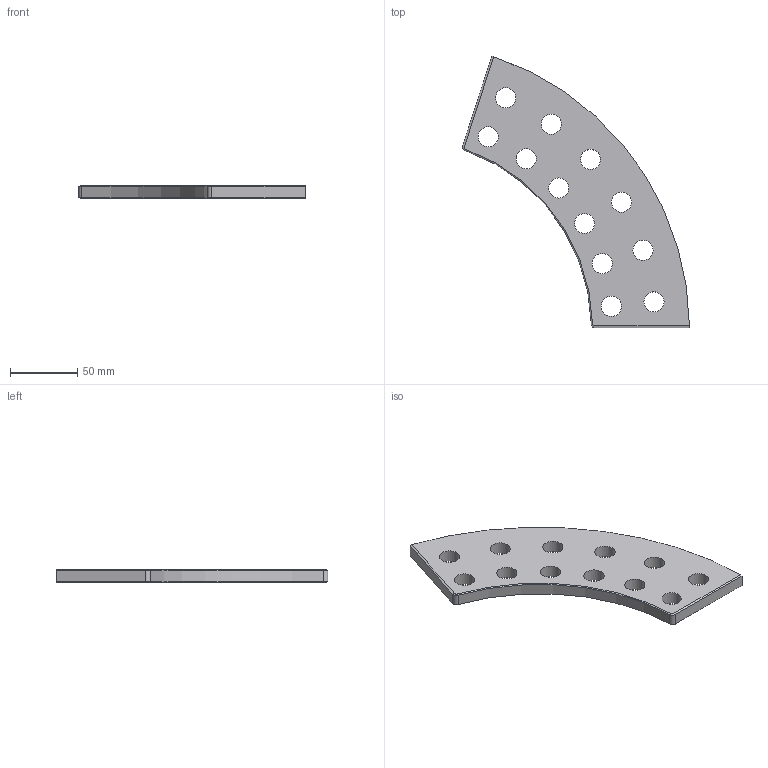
import cadquery as cq
import math

SECTOR_ANGLE = 72.0
OUTER_RADIUS = 213.17
INNER_RADIUS = 140.2
THICKNESS = 9.49
END_CLEARANCE = 0.25
INNER_CORNER_RADIUS = 3.1
TRIM_ALLOWANCE = 5.0

BEVEL_HEIGHT = 0.5
END_BEVEL_INSET = 1.5
INNER_BEVEL_INSET = 0.9

HOLE_DIAMETER = 15.0
HOLE_ROW_RADII = (156.0, 187.8)
HOLES_PER_ROW = 6
HOLE_PITCH_ANGLE = SECTOR_ANGLE / HOLES_PER_ROW


def polar(radius, angle):
    """XY point at a radius and an angle in degrees."""
    turn = math.radians(angle)
    return radius * math.cos(turn), radius * math.sin(turn)


def mirrored(point):
    """The same point reflected across the sector's line of symmetry."""
    x, y = point
    return polar(math.hypot(x, y), SECTOR_ANGLE - math.degrees(math.atan2(y, x)))


def sector_outline(height, end_inset=0.0, inner_inset=0.0):
    """Closed blank outline at a height, with its ends and inner arc drawn into the material."""
    blank_radius = OUTER_RADIUS + TRIM_ALLOWANCE
    end_y = END_CLEARANCE + end_inset
    inner_radius = INNER_RADIUS + inner_inset
    corner_radius = INNER_CORNER_RADIUS - end_inset

    centre_radius = inner_radius + corner_radius
    centre_y = end_y + corner_radius
    centre_angle = math.degrees(math.asin(centre_y / centre_radius))
    centre_x, _ = polar(centre_radius, centre_angle)
    angle_to_arc = 180 + centre_angle
    angle_to_end = 270
    middle_x, middle_y = polar(corner_radius, (angle_to_arc + angle_to_end) / 2)

    outer_corner = (math.sqrt(blank_radius**2 - end_y**2), end_y)
    corner_on_end = (centre_x, end_y)
    corner_middle = (centre_x + middle_x, centre_y + middle_y)
    corner_on_arc = polar(inner_radius, centre_angle)

    return (
        cq.Workplane("XY", origin=(0, 0, height))
        .moveTo(*corner_on_end)
        .lineTo(*outer_corner)
        .threePointArc(polar(blank_radius, SECTOR_ANGLE / 2), mirrored(outer_corner))
        .lineTo(*mirrored(corner_on_end))
        .threePointArc(mirrored(corner_middle), mirrored(corner_on_arc))
        .threePointArc(polar(inner_radius, SECTOR_ANGLE / 2), corner_on_arc)
        .threePointArc(corner_middle, corner_on_end)
        .close()
    )


def make_bevel(face_height, core_height):
    """Thin layer tapering from the full outline at the core to the inset outline at the face."""
    core_wire = sector_outline(core_height).val()
    face_wire = sector_outline(face_height, END_BEVEL_INSET, INNER_BEVEL_INSET).val()
    return cq.Workplane(cq.Solid.makeLoft([core_wire, face_wire], True))


def make_plate():
    core_bottom = BEVEL_HEIGHT
    core_top = THICKNESS - BEVEL_HEIGHT
    core = sector_outline(core_bottom).extrude(core_top - core_bottom)
    bottom_bevel = make_bevel(0, core_bottom)
    top_bevel = make_bevel(THICKNESS, core_top)
    blank = core.union(bottom_bevel).union(top_bevel)
    outer_disc = cq.Workplane("XY").circle(OUTER_RADIUS).extrude(THICKNESS)
    return blank.intersect(outer_disc)


def cut_holes(plate):
    centres = []
    for row_radius in HOLE_ROW_RADII:
        for index in range(HOLES_PER_ROW):
            centres.append(polar(row_radius, (index + 0.5) * HOLE_PITCH_ANGLE))
    holes = cq.Workplane("XY").pushPoints(centres).circle(HOLE_DIAMETER / 2).extrude(THICKNESS)
    return plate.cut(holes)


result = cut_holes(make_plate())